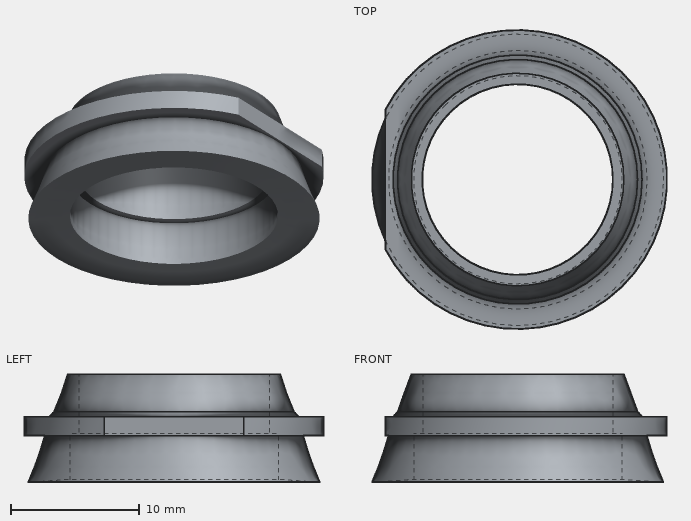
import cadquery as cq

flange_bottom = 3.6
flange_thickness = 1.5
flange_top = flange_bottom + flange_thickness
collar_foot_height = 0.37
total_height = 8.4
counterbore_top = 3.8
bottom_dish_height = 0.23

flange_radius = 11.65
flat_distance = 10.3
skirt_bottom_radius = 11.35
skirt_top_radius = 10.07
skirt_mid_radius = 10.62
collar_foot_radius = 9.7
collar_base_radius = 9.35
collar_top_radius = 8.27
bore_radius = 7.4
counterbore_radius = 8.1

skirt = (
    cq.Workplane("XZ")
    .moveTo(0, bottom_dish_height)
    .lineTo(counterbore_radius, bottom_dish_height)
    .lineTo(skirt_bottom_radius, 0)
    .threePointArc((skirt_mid_radius, flange_bottom / 2), (skirt_top_radius, flange_bottom))
    .lineTo(0, flange_bottom)
    .close()
    .revolve(360, (0, 0), (0, 1))
)

flange = cq.Workplane("XY").workplane(offset=flange_bottom).circle(flange_radius).extrude(flange_thickness)
flat_cutter = (
    cq.Workplane("XY")
    .box(flange_radius, 2 * flange_radius, total_height, centered=(False, True, False))
    .translate((-flat_distance - flange_radius, 0, 0))
)
flange = flange.cut(flat_cutter)

collar = (
    cq.Workplane("XZ")
    .moveTo(0, flange_top)
    .lineTo(collar_foot_radius, flange_top)
    .lineTo(collar_base_radius, flange_top + collar_foot_height)
    .lineTo(collar_top_radius, total_height)
    .lineTo(0, total_height)
    .close()
    .revolve(360, (0, 0), (0, 1))
)

bore = cq.Workplane("XY").circle(bore_radius).extrude(total_height)
counterbore = cq.Workplane("XY").circle(counterbore_radius).extrude(counterbore_top)

result = skirt.union(flange).union(collar).cut(bore).cut(counterbore)